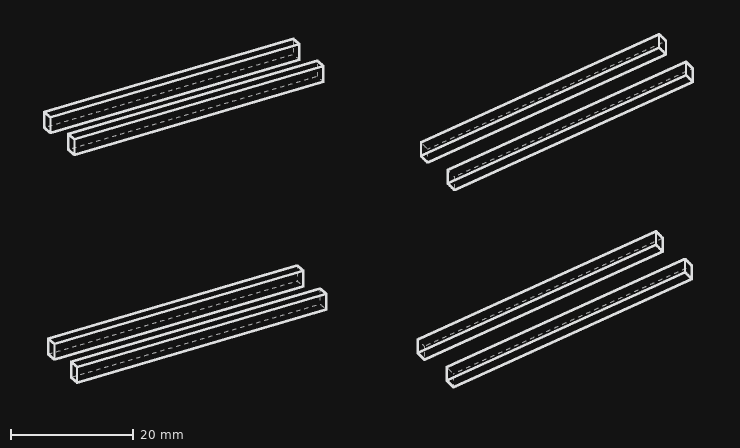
import cadquery as cq

bar_width = 2.0
bar_length = 47.0
bar_height = 3.0

overall_width = 10.15
overall_length = 47.7
overall_height = 46.45

upper_left_corner = (0.0, 0.0, overall_height - bar_height)

upper_right_x = 7.88
upper_right_drop = 0.11
upper_right_corner = (upper_right_x, 0.0, upper_left_corner[2] - upper_right_drop)

lower_left_x = 0.1
lower_left_z = 0.15
lower_left_corner = (lower_left_x, overall_length - bar_length, lower_left_z)

lower_right_y = 0.39
lower_right_corner = (overall_width - bar_width, lower_right_y, 0.0)

bar_corners = [
    upper_left_corner,
    upper_right_corner,
    lower_left_corner,
    lower_right_corner,
]


def make_bar(corner):
    """Plain rectangular bar with its left, front, bottom corner at the given point."""
    bar = cq.Workplane("XY").box(bar_width, bar_length, bar_height, centered=False)
    return bar.translate(corner)


bars = []
for corner in bar_corners:
    bars.append(make_bar(corner).val())

result = cq.Compound.makeCompound(bars)